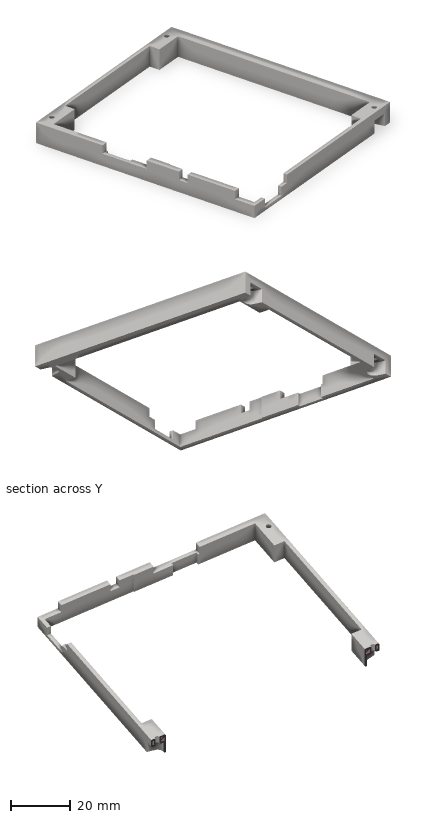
import cadquery as cq

LENGTH = 90.0
WIDTH = 80.0
HEIGHT = 8.0

SIDE_WALL = 1.5
BACK_WALL = 4.0
FRONT_WALL_LEFT = 2.5
FRONT_WALL_RIGHT = 2.2
FRONT_WALL_STEP_X = 53.4

PAD_INNER = 5.5
PAD_REACH = 15.0

SCREW_FROM_SIDE = 2.3
SCREW_FROM_END = 6.05
SCREW_DIAMETER = 1.9
POCKET_MOUTH_WIDTH = 6.2
POCKET_NECK_WIDTH = 4.8
POCKET_NECK_DEPTH = 3.3
POCKET_DEPTH = 4.9
POCKET_HEIGHT = 5.0

NOTCH_FLOOR = 4.75
FRONT_NOTCHES = [(27.4, 45.6), (58.9, 62.5), (82.0, LENGTH)]
RIGHT_NOTCH_END = 19.2
DEEP_NOTCH_START = 6.15
DEEP_NOTCH_END = 16.0
DEEP_NOTCH_FLOOR = 1.3

RECESS_START = 28.0
RECESS_END = 37.9
RECESS_WALL = 1.4


def block(x_range, y_range, z_range=(0, HEIGHT)):
    """Box spanning the given start and end along each axis."""
    (x0, x1), (y0, y1), (z0, z1) = x_range, y_range, z_range
    return cq.Workplane("XY").box(x1 - x0, y1 - y0, z1 - z0, centered=False).translate((x0, y0, z0))


def make_frame():
    """Rectangular frame with three corner pads and a stepped front wall."""
    inner_x = (SIDE_WALL, LENGTH - SIDE_WALL)
    inner_y = (FRONT_WALL_RIGHT, WIDTH - BACK_WALL)
    frame = block((0, LENGTH), (0, WIDTH)).cut(block(inner_x, inner_y))
    frame = frame.union(block((0, FRONT_WALL_STEP_X), (0, FRONT_WALL_LEFT)))
    frame = frame.union(block((0, PAD_INNER), (0, PAD_REACH)))
    for x_range in [(0, PAD_INNER), (LENGTH - PAD_INNER, LENGTH)]:
        frame = frame.union(block(x_range, (WIDTH - PAD_REACH, WIDTH)))
    return frame


def screw_cutter(x, y, outer_x):
    """Through hole over a round-ended pocket that flares out to the side face and is open below."""
    hole = cq.Workplane("XY").center(x, y).circle(SCREW_DIAMETER / 2).extrude(HEIGHT)
    inward = 1 if x > outer_x else -1
    half_mouth = POCKET_MOUTH_WIDTH / 2
    half_neck = POCKET_NECK_WIDTH / 2
    neck_x = inward * POCKET_NECK_DEPTH
    pocket = (
        cq.Workplane("XY")
        .center(outer_x, y)
        .moveTo(0, -half_mouth)
        .lineTo(neck_x, -half_neck)
        .threePointArc((inward * POCKET_DEPTH, 0), (neck_x, half_neck))
        .lineTo(0, half_mouth)
        .close()
        .extrude(POCKET_HEIGHT)
    )
    return hole.union(pocket)


def cut_screws(frame):
    left_x = SCREW_FROM_SIDE
    right_x = LENGTH - SCREW_FROM_SIDE
    back_y = WIDTH - SCREW_FROM_END
    frame = frame.cut(screw_cutter(left_x, SCREW_FROM_END, 0))
    frame = frame.cut(screw_cutter(left_x, back_y, 0))
    return frame.cut(screw_cutter(right_x, back_y, LENGTH))


def cut_front_wall(frame):
    for x_range in FRONT_NOTCHES:
        frame = frame.cut(block(x_range, (0, FRONT_WALL_LEFT), (NOTCH_FLOOR, HEIGHT)))
    return frame.cut(block((RECESS_START, RECESS_END), (RECESS_WALL, FRONT_WALL_LEFT)))


def cut_right_wall(frame):
    wall_x = (LENGTH - SIDE_WALL, LENGTH)
    frame = frame.cut(block(wall_x, (0, RIGHT_NOTCH_END), (NOTCH_FLOOR, HEIGHT)))
    return frame.cut(block(wall_x, (DEEP_NOTCH_START, DEEP_NOTCH_END), (DEEP_NOTCH_FLOOR, HEIGHT)))


result = cut_right_wall(cut_front_wall(cut_screws(make_frame())))